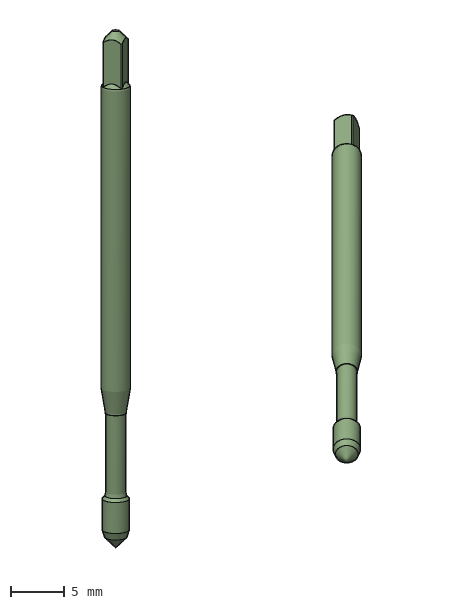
import cadquery as cq

total_height = 50.75
barrel_bottom = 13.25
lip_top = 13.4
taper_top = 15.7
chamfer_bottom = 45.15
chamfer_break = 45.35
shank_bottom = 45.8

barrel_diameter = 2.8
shank_width = 1.95
taper_end_diameter = 2.05
chamfer_break_diameter = 2.7
chamfer_end_diameter = shank_width
shank_corner_diameter = 2.6
shank_tip_diameter = 0.65

shaft_diameter = 1.95
flare_diameter = 2.1
head_diameter = 2.6
point_diameter = 2.15
point_top = point_diameter / 2
head_bottom = 1.8
head_top = 4.8
flare_bottom = 5.15
flare_top = 5.5


def turned(profile, tip_height=None):
    """Revolve (diameter, height) pairs, bottom to top, about Z, closing the outline along the axis.

    With a tip height, the bottom ends in a sharp cone instead of a flat face.
    """
    points = [(diameter / 2, height) for diameter, height in profile]
    bottom = profile[0][1] if tip_height is None else tip_height
    top = profile[-1][1]
    outline = cq.Workplane("XZ").moveTo(0, top).lineTo(0, bottom)
    for radius, height in points:
        outline = outline.lineTo(radius, height)
    outline = outline.close()
    return outline.revolve(360, (0, 0), (0, 1))


def make_shank():
    """Square shank with turned-down corners and a 45 degree blunt conical tip."""
    cone_height = (shank_corner_diameter - shank_tip_diameter) / 2
    blank = turned([
        (shank_corner_diameter, chamfer_bottom),
        (shank_corner_diameter, total_height - cone_height),
        (shank_tip_diameter, total_height),
    ])
    square = (
        cq.Workplane("XY")
        .workplane(offset=chamfer_bottom)
        .rect(shank_width, shank_width)
        .extrude(total_height - chamfer_bottom)
    )
    return blank.intersect(square)


def make_barrel():
    """Round barrel, tapered to a short lip below and chamfered in two steps above, with the shank on top."""
    tube = turned([
        (taper_end_diameter, barrel_bottom),
        (taper_end_diameter, lip_top),
        (barrel_diameter, taper_top),
        (barrel_diameter, chamfer_bottom),
        (chamfer_break_diameter, chamfer_break),
        (chamfer_end_diameter, shank_bottom),
    ])
    return tube.union(make_shank())


def make_plunger():
    """Pointed head on a thin shaft that ends against the barrel."""
    return turned([
        (point_diameter, point_top),
        (head_diameter, head_bottom),
        (head_diameter, head_top),
        (flare_diameter, flare_bottom),
        (shaft_diameter, flare_top),
        (shaft_diameter, barrel_bottom),
    ], tip_height=0)


barrel = make_barrel()
plunger = make_plunger()
result = cq.Compound.makeCompound([barrel.val(), plunger.val()])